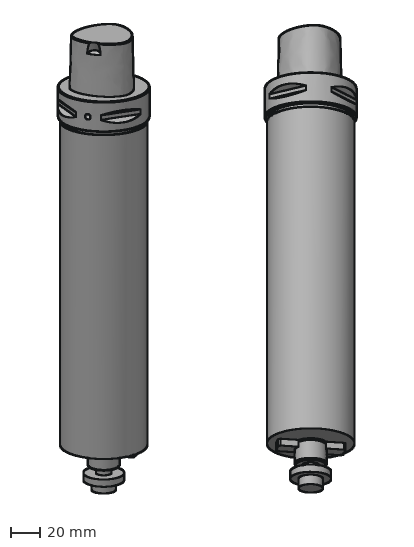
import cadquery as cq
import math

z_screw_head = 7.0
z_disc_top = 12.2
z_pilot_bottom = 17.2
z_body_bottom = 32.7
z_neck_bottom = 267.7
z_flange_bottom = 270.5
z_flange_top = 292.5
z_top = 330.5

flange_diameter = 63.0
body_diameter = 60.0
neck_diameter = 58.2
pilot_diameter = 22.0
relief_diameter = 21.5
relief_height = 1.3
stem_diameter = 11.0
disc_diameter = 28.0
screw_diameter = 17.0
pilot_chamfer = 1.0
flange_chamfer = 0.5

shank_base_radius = 22.0
shank_top_radius = 21.0
lobe_height = 1.5
shank_chamfer = 0.5
shank_points = 48

notch_diameter = 10.0
notch_tilt = 22
notch_corner_y = -15.5
notch_corner_z = 324.0
notch_length = 13.2

groove_z = 281.0
groove_floor = 27.8
groove_floor_height = 3.3
groove_mouth_height = 9.0
groove_angles = (45, 135, 225, 315)
dimple_diameter = 4.0
dimple_depth = 2.0

key_span = 47.0
key_width = 11.2
key_height = 5.0
key_chamfer = 1.3


def cylinder(diameter, z_bottom, z_end):
    return cq.Workplane("XY", origin=(0, 0, z_bottom)).circle(diameter / 2).extrude(z_end - z_bottom)


def lobed_outline(mean_radius, z):
    """Closed constant-width curve with one of its three lobes towards +Y."""
    points = []
    for i in range(shank_points):
        t = 2 * math.pi * i / shank_points
        along = mean_radius * math.cos(t) + lobe_height * (2 * math.cos(2 * t) - math.cos(4 * t))
        across = mean_radius * math.sin(t) - lobe_height * (2 * math.sin(2 * t) + math.sin(4 * t))
        points.append(cq.Vector(-across, along, z))
    return cq.Wire.assembleEdges([cq.Edge.makeSpline(points, periodic=True)])


def lobed_section(lower_radius, upper_radius, z_bottom, z_end):
    lower = lobed_outline(lower_radius, z_bottom)
    upper = lobed_outline(upper_radius, z_end)
    return cq.Workplane(obj=cq.Solid.makeLoft([lower, upper], True))


def make_shank():
    z_chamfer = z_top - shank_chamfer
    taper = lobed_section(shank_base_radius, shank_top_radius, z_flange_top, z_chamfer)
    tip = lobed_section(shank_top_radius, shank_top_radius - shank_chamfer, z_chamfer, z_top)
    return taper.union(tip)


def make_notch():
    """Round flat-bottomed cutter leaning outwards over the -Y side."""
    corner = (0, notch_corner_y, notch_corner_z)
    return (
        cq.Workplane("XY", origin=corner)
        .center(0, -notch_diameter / 2)
        .circle(notch_diameter / 2)
        .extrude(notch_length)
        .rotate(corner, (1, notch_corner_y, notch_corner_z), notch_tilt)
    )


def make_flange():
    flange = cylinder(flange_diameter, z_flange_bottom, z_flange_top).edges().chamfer(flange_chamfer)
    radius = flange_diameter / 2
    profile = [
        (groove_floor, groove_z - groove_floor_height / 2),
        (radius, groove_z - groove_mouth_height / 2),
        (radius, groove_z + groove_mouth_height / 2),
        (groove_floor, groove_z + groove_floor_height / 2),
    ]
    groove = cq.Workplane("XZ").polyline(profile).close().extrude(radius, both=True)
    for angle in groove_angles:
        flange = flange.cut(groove.rotate((0, 0, 0), (0, 0, 1), angle))
    dimple = cq.Workplane(
        obj=cq.Solid.makeCone(
            dimple_diameter / 2, 0, dimple_depth, cq.Vector(0, -radius, groove_z), cq.Vector(0, 1, 0)
        )
    )
    return flange.cut(dimple)


def make_keys():
    return (
        cq.Workplane("XY", origin=(0, 0, z_body_bottom))
        .rect(key_span, key_width)
        .extrude(-key_height)
        .edges("|Z")
        .chamfer(key_chamfer)
    )


def make_pilot():
    """Arbor pilot with a relief below the body and a chamfered end."""
    z_relief = z_body_bottom - relief_height
    pilot = cylinder(pilot_diameter, z_pilot_bottom, z_relief).faces("<Z").chamfer(pilot_chamfer)
    return pilot.union(cylinder(relief_diameter, z_relief, z_body_bottom))


def make_screw():
    stem = cylinder(stem_diameter, z_disc_top, z_pilot_bottom)
    disc = cylinder(disc_diameter, z_screw_head, z_disc_top)
    return stem.union(disc).union(cylinder(screw_diameter, 0, z_screw_head))


result = (
    cylinder(body_diameter, z_body_bottom, z_neck_bottom)
    .union(cylinder(neck_diameter, z_neck_bottom, z_flange_bottom))
    .union(make_flange())
    .union(make_shank().cut(make_notch()))
    .union(make_pilot())
    .union(make_keys())
    .union(make_screw())
)